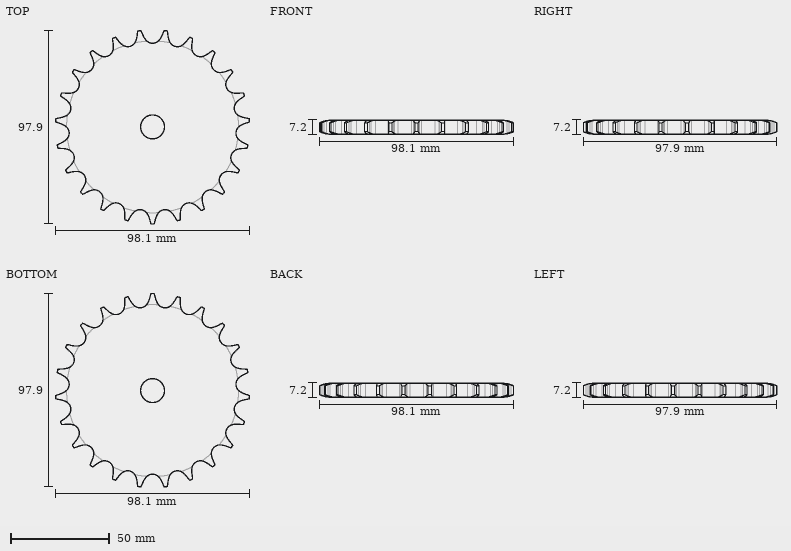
import cadquery as cq
import math

tooth_count = 23
thickness = 7.2
bore_diameter = 12.0
overall_width = 98.1
pitch_radius = 93.3 / 2

seat_radius = 4.3
seat_sweep = math.radians(52.4)
flank_radius = 11.2
flank_sweep = math.radians(15.6)
flank_straight = 1.1
topping_radius = 7.1

tooth_angle = 2 * math.pi / tooth_count
first_tooth_angle = -math.pi / 2

tip_half_angle = math.radians(0.88)
outer_radius = overall_width / 2 / math.cos(tooth_angle / 4 - tip_half_angle)

chain_pitch = 2 * pitch_radius * math.sin(tooth_angle / 2)

relief_radius = chain_pitch
relief_start_radius = 43.4
relief_width = outer_radius - relief_start_radius


def point_from(center, radius, angle):
    """Point at the given radius and angle from a center."""
    return (center[0] + radius * math.cos(angle), center[1] + radius * math.sin(angle))


def rotate(point, angle):
    """Rotate a point about the sprocket axis."""
    x, y = point
    return (
        x * math.cos(angle) - y * math.sin(angle),
        x * math.sin(angle) + y * math.cos(angle),
    )


def mirror(point):
    """Mirror a point across the centre line of a gap lying on +Y."""
    return (-point[0], point[1])


def half_gap_points():
    """Right half of a gap centred on +Y, as outline points from the seat to the tip corner."""
    seat_center = (0, pitch_radius)
    bottom = -math.pi / 2
    seat_end_angle = bottom + seat_sweep
    seat_end = point_from(seat_center, seat_radius, seat_end_angle)

    flank_center = point_from(seat_center, seat_radius - flank_radius, seat_end_angle)
    flank_end_angle = seat_end_angle + flank_sweep
    flank_middle = point_from(flank_center, flank_radius, seat_end_angle + flank_sweep / 2)
    flank_end = point_from(flank_center, flank_radius, flank_end_angle)

    straight_direction = flank_end_angle + math.pi / 2
    straight_end = point_from(flank_end, flank_straight, straight_direction)
    topping_center = point_from(straight_end, topping_radius, flank_end_angle)
    topping_start_angle = flank_end_angle + math.pi

    center_distance = math.hypot(*topping_center)
    cosine = (topping_radius**2 + center_distance**2 - outer_radius**2) / (
        2 * topping_radius * center_distance
    )
    inward_angle = math.atan2(-topping_center[1], -topping_center[0]) % (2 * math.pi)
    topping_end_angle = inward_angle - math.acos(cosine)
    topping_middle_angle = (topping_start_angle + topping_end_angle) / 2
    topping_middle = point_from(topping_center, topping_radius, topping_middle_angle)
    tip_corner = point_from(topping_center, topping_radius, topping_end_angle)
    return seat_end, flank_middle, flank_end, straight_end, topping_middle, tip_corner


def toothed_blank():
    """Plate with the full toothed outline, one gap and one tooth tip per step."""
    right_half = half_gap_points()
    left_half = [mirror(point) for point in right_half]
    seat_bottom = (0, pitch_radius - seat_radius)
    first_gap_turn = first_tooth_angle + tooth_angle / 2 - math.pi / 2

    outline = cq.Workplane("XY").workplane(offset=-thickness / 2)
    outline = outline.moveTo(*rotate(right_half[-1], first_gap_turn))
    for index in range(tooth_count):
        turn = first_gap_turn + index * tooth_angle
        seat_end, flank_middle, flank_end, straight_end, topping_middle, _ = (
            rotate(point, turn) for point in right_half
        )
        far_seat_end, far_flank_middle, far_flank_end, far_straight_end, far_topping_middle, far_tip = (
            rotate(point, turn) for point in left_half
        )
        tip_middle = point_from((0, 0), outer_radius, first_tooth_angle + (index + 1) * tooth_angle)
        next_tip = rotate(right_half[-1], turn + tooth_angle)
        outline = (
            outline.threePointArc(topping_middle, straight_end)
            .lineTo(*flank_end)
            .threePointArc(flank_middle, seat_end)
            .threePointArc(rotate(seat_bottom, turn), far_seat_end)
            .threePointArc(far_flank_middle, far_flank_end)
            .lineTo(*far_straight_end)
            .threePointArc(far_topping_middle, far_tip)
            .threePointArc(tip_middle, next_tip)
        )
    return outline.close().extrude(thickness)


def relieved_disc():
    """Disc whose rim thins on both faces along the relief arcs."""

    def relief_drop(width):
        """Depth of the relief at a distance outside its start."""
        return relief_radius - math.sqrt(relief_radius**2 - width**2)

    half = thickness / 2
    middle_radius = relief_start_radius + relief_width / 2
    middle_height = half - relief_drop(relief_width / 2)
    rim_height = half - relief_drop(relief_width)
    return (
        cq.Workplane("XZ")
        .moveTo(0, -half)
        .lineTo(relief_start_radius, -half)
        .threePointArc((middle_radius, -middle_height), (outer_radius, -rim_height))
        .lineTo(outer_radius, rim_height)
        .threePointArc((middle_radius, middle_height), (relief_start_radius, half))
        .lineTo(0, half)
        .close()
        .revolve(360, (0, 0, 0), (0, 1, 0))
    )


bore = cq.Workplane("XY").circle(bore_diameter / 2).extrude(thickness, both=True)
result = toothed_blank().intersect(relieved_disc()).cut(bore)